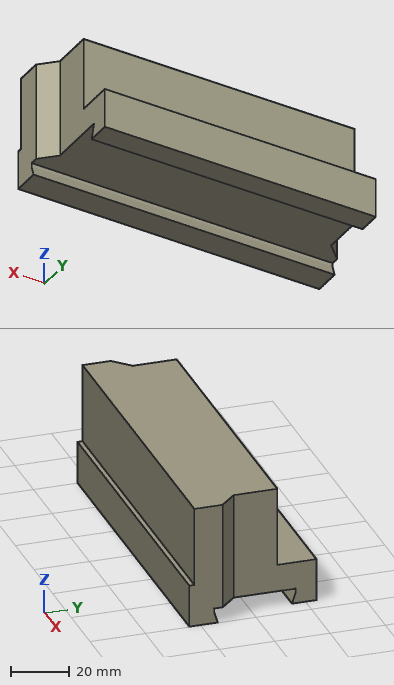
import cadquery as cq

length = 120.0
width = 48.0
height = 44.5

base_height = 15.6
front_ledge = 1.8
rear_ledge = 14.2

channel_front = 9.0
channel_rear = 7.5
channel_depth = 5.5
channel_straight = 1.5
channel_undercut = 1.3

end_step = 6.0
taper_start = 12.0
taper_end = taper_start + end_step


def make_profile_body():
    """Extrude the stepped, channelled cross-section along X."""
    lip_height = channel_depth - channel_straight
    profile = [
        (0, 0),
        (channel_front + channel_undercut, 0),
        (channel_front, lip_height),
        (channel_front, channel_depth),
        (width - channel_rear, channel_depth),
        (width - channel_rear, lip_height),
        (width - channel_rear - channel_undercut, 0),
        (width, 0),
        (width, base_height),
        (width - rear_ledge, base_height),
        (width - rear_ledge, height),
        (front_ledge, height),
        (front_ledge, base_height),
        (0, base_height),
    ]
    return cq.Workplane("YZ").polyline(profile).close().extrude(length)


def make_plan_outline():
    """Full-height plan outline with both ends tapering in towards the rear."""
    outline = [
        (0, 0),
        (length, 0),
        (length, taper_start),
        (length - end_step, taper_end),
        (length - end_step, width),
        (end_step, width),
        (end_step, taper_end),
        (0, taper_start),
    ]
    return cq.Workplane("XY").polyline(outline).close().extrude(height)


result = make_profile_body().intersect(make_plan_outline())